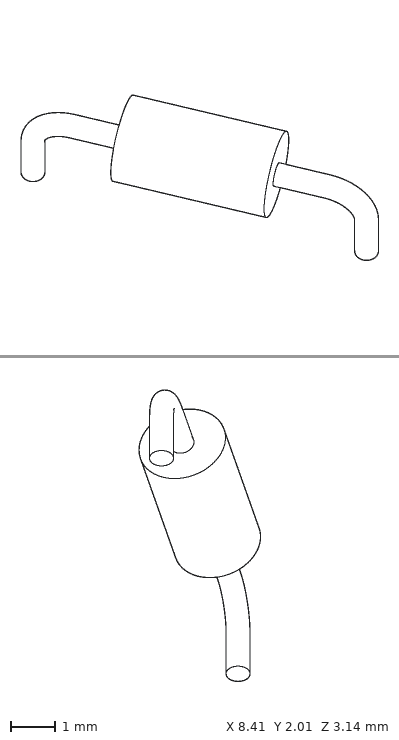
import cadquery as cq

overall_length = 8.41
overall_height = 3.14
body_diameter = 2.01
body_length = 3.62
wire_diameter = 0.55

lead_reach = (overall_length - body_length) / 2
bend_outer_radius = lead_reach / 2
bend_radius = bend_outer_radius - wire_diameter / 2

axis_height = overall_height - body_diameter / 2
body_end = body_length / 2
bend_start = body_end + lead_reach - bend_outer_radius
leg_x = bend_start + bend_radius
leg_length = axis_height - bend_radius


def make_body():
    """Cylindrical component body, centred on the YZ plane."""
    start_plane = cq.Plane(origin=(-body_end, 0, axis_height), xDir=(0, 1, 0), normal=(1, 0, 0))
    return cq.Workplane(start_plane).circle(body_diameter / 2).extrude(body_length)


def make_lead(side):
    """Bent wire from one end face of the body; side is +1 or -1 along X."""
    path = (
        cq.Workplane("XZ")
        .moveTo(side * body_end, axis_height)
        .lineTo(side * bend_start, axis_height)
        .tangentArcPoint((side * leg_x, leg_length), relative=False)
        .lineTo(side * leg_x, 0)
    )
    start_plane = cq.Plane(
        origin=(side * body_end, 0, axis_height), xDir=(0, 1, 0), normal=(side, 0, 0)
    )
    return cq.Workplane(start_plane).circle(wire_diameter / 2).sweep(path)


body = make_body()
leads = [make_lead(side).val() for side in (-1, 1)]

result = cq.Compound.makeCompound([body.val(), *leads])